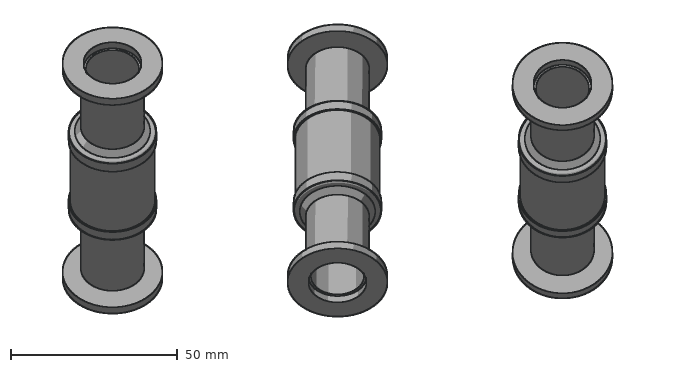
import cadquery as cq
import math

length = 91.95
half_length = length / 2

flange_radius = 30.0 / 2
rim_thickness = 2.8
flange_back_angle = 15.0

tube_radius = 19.0 / 2
bore_radius = 15.9 / 2
recess_radius = 17.4 / 2
recess_depth = 2.6

body_length = 33.7
body_radius = 25.4 / 2
end_edge_radius = 25.9 / 2
end_fillet = 0.55
collar_radius = 26.4 / 2
collar_gap = 25.8

shoulder_base_radius = 11.3
shoulder_height = 1.9

collar_inner_z = collar_gap / 2
body_end_z = body_length / 2
collar_outer_z = body_end_z - end_fillet
shoulder_top_z = body_end_z + shoulder_height
rim_back_z = half_length - rim_thickness
flange_back_height = (flange_radius - tube_radius) * math.tan(math.radians(flange_back_angle))

fillet_center_radius = end_edge_radius - end_fillet
fillet_reach = end_fillet * math.sqrt(0.5)
fillet_middle = (fillet_center_radius + fillet_reach, collar_outer_z + fillet_reach)
fillet_end = (fillet_center_radius, body_end_z)


def center_barrel():
    """Plain cylinder between the two collars."""
    return cq.Workplane("XY").circle(body_radius).extrude(collar_inner_z, both=True)


def upper_end():
    """Collar, rounded body end, shoulder, tube and flange, revolved as one solid with its recess."""
    outline = (
        cq.Workplane("XZ")
        .moveTo(0, collar_inner_z)
        .lineTo(collar_radius, collar_inner_z)
        .lineTo(collar_radius, collar_outer_z)
        .lineTo(end_edge_radius, collar_outer_z)
        .threePointArc(fillet_middle, fillet_end)
        .lineTo(shoulder_base_radius, body_end_z)
        .lineTo(tube_radius, shoulder_top_z)
        .lineTo(tube_radius, rim_back_z - flange_back_height)
        .lineTo(flange_radius, rim_back_z)
        .lineTo(flange_radius, half_length)
        .lineTo(0, half_length)
        .close()
    )
    return outline.revolve(360, (0, 0), (0, 1)).cut(end_recess())


def bore():
    """Straight bore over the full length."""
    return cq.Workplane("XY").circle(bore_radius).extrude(half_length, both=True)


def end_recess():
    """Shallow recess at the mouth of the bore in the upper end face."""
    floor = cq.Workplane("XY").workplane(offset=half_length - recess_depth)
    return floor.circle(recess_radius).extrude(recess_depth)


upper = upper_end()
lower = upper.mirror("XY")
result = center_barrel().union(upper).union(lower).cut(bore())